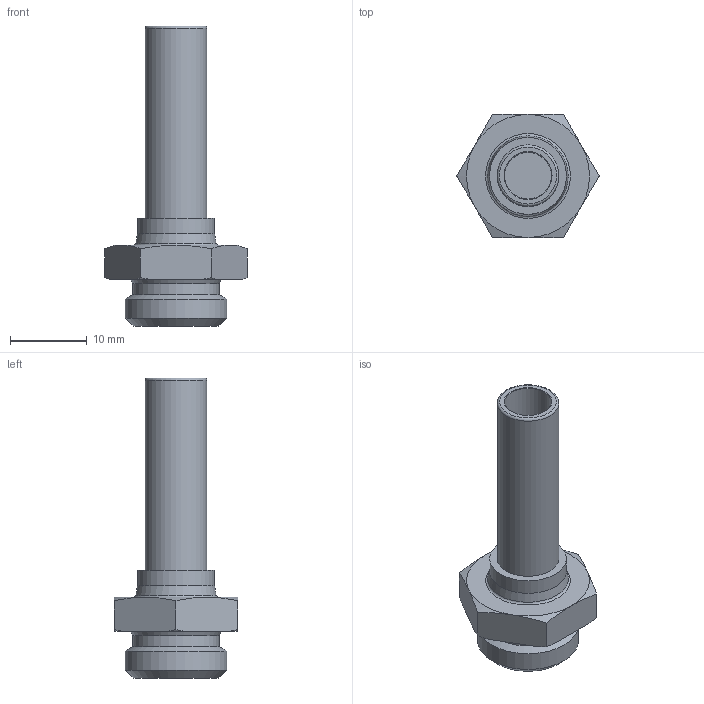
import cadquery as cq
import math

total_height = 39.0

plug_radius = 13.157 / 2
plug_end_chamfer = 1.0
plug_top_z = 3.5

groove_radius = 11.2 / 2
groove_bottom_angle = 30.0
groove_bottom_z = plug_top_z + (plug_radius - groove_radius) * math.tan(math.radians(groove_bottom_angle))
groove_top_z = 5.5
groove_flare = 0.3

hex_across_flats = 16.0
hex_across_corners = hex_across_flats / math.cos(math.radians(30))
hex_bottom_z = 6.05
hex_top_z = 10.5
hex_top_face_radius = hex_across_flats / 2
hex_chamfer_angle = 20.0
cone_overrun = 1.0
hex_bottom_face_radius = 8.6

shoulder_radius = 5.0
shoulder_taper_top_z = 12.0
shoulder_taper_angle = 10.0
shoulder_foot_fillet = 0.3
shoulder_top_z = 14.0

tube_radius = 4.0
tube_rim_rounding = 0.3
bore_radius = 3.05
bore_rim_chamfer = 0.07
bore_depth = total_height - shoulder_top_z


def revolve_profile(profile):
    """Turn a closed (radius, Z) profile a full turn about the Z axis."""
    return profile.close().revolve(360, (0, 0, 0), (0, 1, 0))


def make_plug():
    """Chamfered plug end and relief groove, reaching up to the hexagon."""
    profile = (
        cq.Workplane("XZ")
        .moveTo(0, 0)
        .lineTo(plug_radius - plug_end_chamfer, 0)
        .lineTo(plug_radius, plug_end_chamfer)
        .lineTo(plug_radius, plug_top_z)
        .lineTo(groove_radius, groove_bottom_z)
        .lineTo(groove_radius, groove_top_z)
        .lineTo(groove_radius + groove_flare, hex_bottom_z)
        .lineTo(0, hex_bottom_z)
    )
    return revolve_profile(profile)


def make_hexagon():
    """Hexagon with corners on the X axis, its corners cut back by a cone at each end."""
    prism = (
        cq.Workplane("XY", origin=(0, 0, hex_bottom_z))
        .polygon(6, hex_across_corners)
        .extrude(hex_top_z - hex_bottom_z)
    )
    outer_radius = hex_across_corners / 2 + cone_overrun
    cone_slope = math.tan(math.radians(hex_chamfer_angle))
    top_drop = (outer_radius - hex_top_face_radius) * cone_slope
    bottom_rise = (outer_radius - hex_bottom_face_radius) * cone_slope
    envelope = (
        cq.Workplane("XZ")
        .moveTo(0, hex_bottom_z)
        .lineTo(hex_bottom_face_radius, hex_bottom_z)
        .lineTo(outer_radius, hex_bottom_z + bottom_rise)
        .lineTo(outer_radius, hex_top_z - top_drop)
        .lineTo(hex_top_face_radius, hex_top_z)
        .lineTo(0, hex_top_z)
    )
    return prism.intersect(revolve_profile(envelope))


def make_shoulder():
    """Cylinder on a slightly tapered foot, blended into the hexagon by a tangent fillet."""
    taper = math.radians(shoulder_taper_angle)
    half_turn = (math.pi / 2 - taper) / 2

    fillet_top_z = hex_top_z + shoulder_foot_fillet * (1 - math.sin(taper))
    fillet_top_radius = shoulder_radius + (shoulder_taper_top_z - fillet_top_z) * math.tan(taper)
    centre_radius = fillet_top_radius + shoulder_foot_fillet * math.cos(taper)
    centre_z = hex_top_z + shoulder_foot_fillet
    fillet_middle = (
        centre_radius - shoulder_foot_fillet * math.sin(half_turn),
        centre_z - shoulder_foot_fillet * math.cos(half_turn),
    )
    profile = (
        cq.Workplane("XZ")
        .moveTo(0, hex_top_z)
        .lineTo(centre_radius, hex_top_z)
        .threePointArc(fillet_middle, (fillet_top_radius, fillet_top_z))
        .lineTo(shoulder_radius, shoulder_taper_top_z)
        .lineTo(shoulder_radius, shoulder_top_z)
        .lineTo(0, shoulder_top_z)
    )
    return revolve_profile(profile)


def make_tube():
    """Solid tube body with a rounded outer rim."""
    return (
        cq.Workplane("XY", origin=(0, 0, shoulder_top_z))
        .circle(tube_radius)
        .extrude(total_height - shoulder_top_z)
        .faces(">Z")
        .edges()
        .fillet(tube_rim_rounding)
    )


def make_bore():
    """Flat-bottomed blind bore with a small chamfer at its mouth."""
    profile = (
        cq.Workplane("XZ")
        .moveTo(0, total_height - bore_depth)
        .lineTo(bore_radius, total_height - bore_depth)
        .lineTo(bore_radius, total_height - bore_rim_chamfer)
        .lineTo(bore_radius + bore_rim_chamfer, total_height)
        .lineTo(0, total_height)
    )
    return revolve_profile(profile)


body = make_plug().union(make_hexagon()).union(make_shoulder()).union(make_tube())
result = body.cut(make_bore())